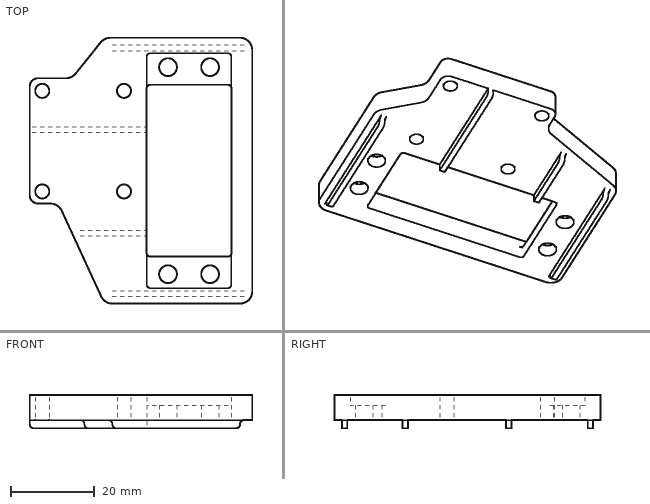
import cadquery as cq

length_x = 53.15
width_y = 63.5
total_height = 8.0
plate_thickness = 0.75 * total_height
body_left_x = 17.85
tab_bottom_y = 23.9
tab_top_y = 53.85
tab_root_bottom_x = 6.85
tab_root_top_x = 10.1
body_radius = 3.0
tab_radius = 2.05

window_center = (38.05, width_y / 2)
window_width = 20.2
pocket_length = 56.0
opening_length = 40.9
pocket_depth = 2.5
window_radius = 0.75

ledge_hole_diameter = 4.2
ledge_hole_pitch_x = 10.05
ledge_hole_pitch_y = 49.4
tab_hole_diameter = 3.3
tab_hole_center = (12.75, 38.8)
tab_hole_pitch_x = 19.5
tab_hole_pitch_y = 24.0

rib_height = total_height - plate_thickness
rib_width = 1.35
rib_edge_offset = 2.4
rib_right_x = 50.2
rib_tip_radius = rib_height / 2
rib_root_radius = rib_height - rib_tip_radius
outer_rib_left_x = 19.75
lower_tab_rib_y = 16.9
lower_tab_rib_left_x = 13.1
upper_tab_rib_y = 41.6
window_left_x = window_center[0] - window_width / 2


def make_plate():
    corners = [
        (0, tab_bottom_y),
        (tab_root_bottom_x, tab_bottom_y),
        (body_left_x, 0),
        (length_x, 0),
        (length_x, width_y),
        (body_left_x, width_y),
        (tab_root_top_x, tab_top_y),
        (0, tab_top_y),
    ]
    plate = cq.Workplane("XY").polyline(corners).close().extrude(plate_thickness)
    plate = plate.edges("|Z and <X").fillet(tab_radius)
    sharp_corners = corners[1:-1]
    for x, y in sharp_corners:
        corner = cq.NearestToPointSelector((x, y, plate_thickness / 2))
        plate = plate.edges("|Z").edges(corner).fillet(body_radius)
    return plate


def window_cutter(size_y, bottom_z):
    return (
        cq.Workplane("XY", origin=(*window_center, bottom_z))
        .rect(window_width, size_y)
        .extrude(plate_thickness - bottom_z)
        .edges("|Z")
        .fillet(window_radius)
    )


def hole_cutters(center, pitch_x, pitch_y, diameter):
    return (
        cq.Workplane("XY", origin=(*center, 0))
        .rarray(pitch_x, pitch_y, 2, 2)
        .circle(diameter / 2)
        .extrude(plate_thickness)
    )


def make_rib(center_y, left_x, right_x, left_flare=True, right_flare=True):
    """Rib along X with rounded tips; a flared end widens into the plate with a concave arc."""
    profile = cq.Workplane("XZ", origin=(0, center_y + rib_width / 2, 0))
    if left_flare:
        profile = profile.moveTo(left_x - rib_root_radius, 0)
        profile = profile.radiusArc((left_x, -rib_root_radius), rib_root_radius)
    else:
        profile = profile.moveTo(left_x, 0).lineTo(left_x, -rib_root_radius)
    profile = profile.radiusArc((left_x + rib_tip_radius, -rib_height), -rib_tip_radius)
    if right_flare:
        profile = profile.lineTo(right_x - rib_tip_radius, -rib_height)
        profile = profile.radiusArc((right_x, rib_tip_radius - rib_height), -rib_tip_radius)
        profile = profile.radiusArc((right_x + rib_root_radius, 0), rib_root_radius)
    else:
        profile = profile.lineTo(right_x, -rib_height).lineTo(right_x, 0)
    return profile.close().extrude(rib_width)


plate = make_plate()
plate = plate.cut(window_cutter(pocket_length, plate_thickness - pocket_depth))
plate = plate.cut(window_cutter(opening_length, 0))
plate = plate.cut(hole_cutters(window_center, ledge_hole_pitch_x, ledge_hole_pitch_y, ledge_hole_diameter))
plate = plate.cut(hole_cutters(tab_hole_center, tab_hole_pitch_x, tab_hole_pitch_y, tab_hole_diameter))

for rib_y in (rib_edge_offset, width_y - rib_edge_offset):
    plate = plate.union(make_rib(rib_y, outer_rib_left_x, rib_right_x))
plate = plate.union(make_rib(lower_tab_rib_y, lower_tab_rib_left_x, window_left_x, right_flare=False))
plate = plate.union(make_rib(upper_tab_rib_y, 0, window_left_x, left_flare=False, right_flare=False))

result = plate